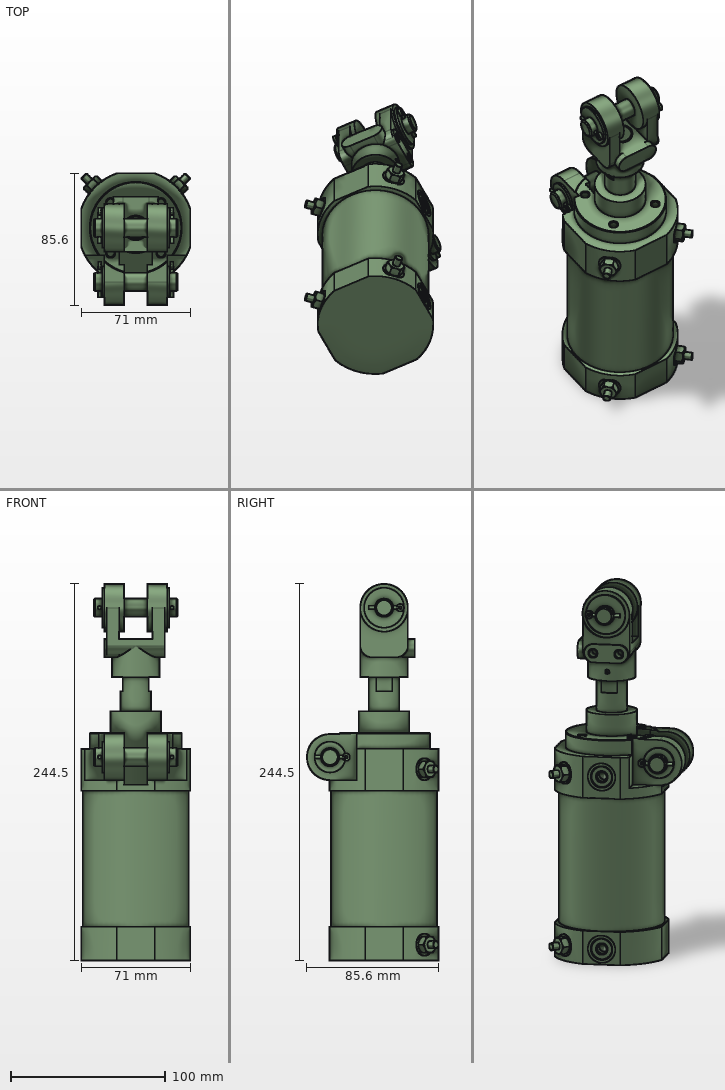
import cadquery as cq
import math

CAP_HEIGHT = 22.0
HEAD_BOTTOM = 110.0
HEAD_TOP = 137.5
COLLAR_TOP = 147.7
NECK_TOP = 161.9
FLATS_TOP = 174.8

TUBE_DIA = 69.0
COVER_DIA = 75.0
COVER_FLATS = 71.0
COLLAR_DIA = 60.0
COLLAR_CHAMFER = 0.5
NECK_DIA = 33.0
ROD_DIA = 20.0
ROD_FLATS = 17.0
SPIGOT_DIA = 16.0
SPIGOT_CHAMFER = 0.7

CHEEK_OUTER = 20.3
CHEEK_INNER = 7.5
WASHER_FACE = 21.8

LUG_DIA = 30.0
LUG_RADIUS = LUG_DIA / 2
LUG_FRONT_Y = -50.1
LUG_Y = LUG_FRONT_Y + LUG_RADIUS
LUG_Z = 132.0
LUG_WASHER_DIA = 20.0
CHEEK_BACK_Y = -17.8
SLOT_FLOOR_Z = 114.0
POCKET_HALF_WIDTH = 10.8
POCKET_FRONT_Y = -24.0
POCKET_BACK_Y = -14.5

FORK_BOTTOM = 183.9
FORK_DIA = 31.0
FORK_RADIUS = FORK_DIA / 2
FORK_TOP = 244.5
FORK_Z = FORK_TOP - FORK_RADIUS
FORK_WASHER_DIA = 26.0
FORK_BORE_DIA = 16.1
FORK_WIDTH = 38.0
FORK_HALF_WIDTH = FORK_WIDTH / 2
LEG_INNER = 10.8
FLOOR_Z = 208.8
PAD_HEIGHT = 12.0
PAD_HOLE_SPACING = 17.0
REAR_PAD_Y = 20.0
BASE_FILLET = 7.5
BASE_BOTTOM = FLOOR_Z - PAD_HEIGHT
PAD_Z = FLOOR_Z - PAD_HEIGHT / 2
SET_HOLE_DIA = 3.0
SET_HOLE_Z = 190.0
SET_HOLE_DEPTH = 5.0

TAP_DIA = 5.0
TAP_MOUTH_DIA = 6.0
TAP_DEPTH = 9.8
COLLAR_TAP_XY = 16.5

REAR_PORT_Z = 10.3
FRONT_PORT_Z = 124.2
PORT_SEAT_DIA = 18.0
PORT_SEAT_DEPTH = 0.2
PORT_MOUTH_DIA = 14.5
PORT_DIA = 13.5
PORT_DEPTH = 0.6
FEED_MOUTH_DIA = 7.8
FEED_DIA = 6.0
DRILL_HALF_ANGLE = 60
FEED_DEPTH = 7.3

NEEDLE_SEAT_DIA = 14.5
NEEDLE_SEAT_R = 36.7
NEEDLE_NUT_R = 42.3
NEEDLE_END_R = 47.7
NEEDLE_NUT_BEVEL = 0.7
NEEDLE_STUD_CHAMFER = 0.2
NEEDLE_NUT_CORNERS = 12.0
NEEDLE_STUD_DIA = 5.0
NEEDLE_ANGLES = (45, 135)

PIN_DIA = 12.0
PIN_HALF_LENGTH = 27.5
PIN_CHAMFER = 1.0
COTTER_X = 23.5
COTTER_DIA = 2.3
COTTER_TAIL = 10.0
COTTER_EYE_CENTRE = 10.5
COTTER_EYE_DIA = 5.0
COTTER_EYE_THICKNESS = 2.0
COTTER_EYE_HOLE = 1.7


def rod_z(dia, z_low, z_high):
    """Upright cylinder on the main axis."""
    return cq.Workplane("XY").workplane(offset=z_low).circle(dia / 2).extrude(z_high - z_low)


def rod_x(dia, x_low, x_high, y, z):
    """Cylinder along X."""
    return cq.Workplane("YZ", origin=(x_low, y, z)).circle(dia / 2).extrude(x_high - x_low)


def block(x_low, x_high, y_low, y_high, z_low, z_high):
    """Box between two opposite corners."""
    size = (x_high - x_low, y_high - y_low, z_high - z_low)
    return cq.Workplane("XY").box(*size, centered=False).translate((x_low, y_low, z_low))


def countersunk_hole(mouth, direction, mouth_dia, dia, depth):
    """Blind hole with a 45 degree mouth, as a tool to cut with."""
    sink = (mouth_dia - dia) / 2
    profile = (
        cq.Workplane("XZ")
        .polyline([(0, 0), (mouth_dia / 2, 0), (dia / 2, sink), (dia / 2, depth), (0, depth)])
        .close()
        .revolve(360, (0, 0, 0), (0, 1, 0))
    )
    plane = cq.Plane(origin=mouth, normal=direction)
    return cq.Workplane(profile.val().moved(plane.location))


def cover(z_low, z_high):
    """Round end cover with a flat on each of its four sides."""
    half = COVER_FLATS / 2
    return rod_z(COVER_DIA, z_low, z_high).intersect(block(-half, half, -half, half, z_low, z_high))


def head():
    """Front cover with its collar and the two cheeks of the lower joint."""
    collar = rod_z(COLLAR_DIA, HEAD_TOP, COLLAR_TOP).faces(">Z").chamfer(COLLAR_CHAMFER)
    body = cover(HEAD_BOTTOM, HEAD_TOP).union(collar)
    lug_bottom = LUG_Z - LUG_RADIUS
    for side in (-1, 1):
        x_near, x_far = sorted((side * CHEEK_OUTER, side * COVER_DIA))
        body = body.cut(block(x_near, x_far, -COVER_DIA, CHEEK_BACK_Y, lug_bottom, NECK_TOP))

    body = body.union(
        block(-CHEEK_OUTER, CHEEK_OUTER, LUG_Y, CHEEK_BACK_Y, lug_bottom, LUG_Z + LUG_RADIUS)
    )
    body = body.union(rod_x(LUG_DIA, -CHEEK_OUTER, CHEEK_OUTER, LUG_Y, LUG_Z))
    body = body.union(rod_x(LUG_WASHER_DIA, -WASHER_FACE, WASHER_FACE, LUG_Y, LUG_Z))

    slot = block(-CHEEK_INNER, CHEEK_INNER, -COVER_DIA, POCKET_BACK_Y, SLOT_FLOOR_Z, NECK_TOP)
    pocket = block(
        -POCKET_HALF_WIDTH, POCKET_HALF_WIDTH, POCKET_FRONT_Y, POCKET_BACK_Y, SLOT_FLOOR_Z, NECK_TOP
    )
    body = body.cut(slot).cut(pocket).union(rod_z(NECK_DIA, HEAD_BOTTOM, NECK_TOP))
    body = body.cut(rod_x(PIN_DIA, -PIN_HALF_LENGTH, PIN_HALF_LENGTH, LUG_Y, LUG_Z))

    for x in (-COLLAR_TAP_XY, COLLAR_TAP_XY):
        for y in (-COLLAR_TAP_XY, COLLAR_TAP_XY):
            body = body.cut(
                countersunk_hole((x, y, COLLAR_TOP), (0, 0, -1), TAP_MOUTH_DIA, TAP_DIA, TAP_DEPTH)
            )
    return body


def piston_rod():
    """Rod with wrench flats and the spigot that enters the fork."""
    half = ROD_FLATS / 2
    spigot = rod_z(SPIGOT_DIA, FORK_BOTTOM, FLOOR_Z).faces(">Z").chamfer(SPIGOT_CHAMFER)
    flats = block(-half, half, -ROD_DIA, ROD_DIA, FLATS_TOP, FORK_BOTTOM)
    return (
        rod_z(ROD_DIA, NECK_TOP, FLATS_TOP)
        .union(rod_z(ROD_DIA, FLATS_TOP, FORK_BOTTOM).intersect(flats))
        .union(spigot)
    )


def air_port(z):
    """Stepped port in the -X flat, as a tool to cut with."""
    face_x = -COVER_FLATS / 2
    seat_x = face_x + PORT_SEAT_DEPTH
    inward = (1, 0, 0)
    seat = rod_x(PORT_SEAT_DIA, face_x, seat_x, 0, z)
    ring = countersunk_hole((seat_x, 0, z), inward, PORT_MOUTH_DIA, PORT_DIA, PORT_DEPTH)
    floor = (seat_x + PORT_DEPTH, 0, z)
    feed = countersunk_hole(floor, inward, FEED_MOUTH_DIA, FEED_DIA, FEED_DEPTH)
    tip_length = FEED_DIA / 2 / math.tan(math.radians(DRILL_HALF_ANGLE))
    tip_base = (seat_x + PORT_DEPTH + FEED_DEPTH, 0, z)
    tip = cq.Workplane(
        cq.Solid.makeCone(FEED_DIA / 2, 0, tip_length, cq.Vector(*tip_base), cq.Vector(*inward))
    )
    return seat.union(ring).union(feed).union(tip)


def add_needle(body, angle, z):
    """Seat, hexagon and stud of a cushion needle, pointing away from the main axis."""
    outward = (math.cos(math.radians(angle)), math.sin(math.radians(angle)), 0)
    plane = cq.Plane(origin=(0, 0, z), xDir=(outward[1], -outward[0], 0), normal=outward)
    nut_height = NEEDLE_NUT_R - NEEDLE_SEAT_R
    seat_plane = cq.Workplane(plane).workplane(offset=NEEDLE_SEAT_R)
    nut_plane = cq.Workplane(plane).workplane(offset=NEEDLE_NUT_R)

    body = body.cut(seat_plane.circle(NEEDLE_SEAT_DIA / 2).extrude(nut_height))
    bevelled = seat_plane.circle(NEEDLE_NUT_CORNERS / 2).extrude(nut_height)
    bevelled = bevelled.faces("%PLANE").chamfer(NEEDLE_NUT_BEVEL)
    nut = seat_plane.polygon(6, NEEDLE_NUT_CORNERS).extrude(nut_height).intersect(bevelled)
    stud = nut_plane.circle(NEEDLE_STUD_DIA / 2).extrude(NEEDLE_END_R - NEEDLE_NUT_R)
    outer_end = cq.DirectionMinMaxSelector(plane.zDir, True)
    return body.union(nut).union(stud.faces(outer_end).chamfer(NEEDLE_STUD_CHAMFER))


def make_cylinder():
    """Rear cap, tube, head and rod with their ports and needles."""
    body = (
        cover(0, CAP_HEIGHT)
        .union(rod_z(TUBE_DIA, CAP_HEIGHT, HEAD_BOTTOM))
        .union(head())
        .union(piston_rod())
    )
    for z in (REAR_PORT_Z, FRONT_PORT_Z):
        body = body.cut(air_port(z))
        for angle in NEEDLE_ANGLES:
            body = add_needle(body, angle, z)
    return body


def pad_outline(plane):
    """Horizontal slot outline, its round ends centred on the pad holes."""
    return plane.slot2D(PAD_HOLE_SPACING + PAD_HEIGHT, PAD_HEIGHT)


def make_fork():
    """U-shaped fork on a round hub."""
    outline = block(
        -FORK_HALF_WIDTH, FORK_HALF_WIDTH, -FORK_RADIUS, FORK_RADIUS, BASE_BOTTOM, FORK_Z
    )
    outline = outline.edges("|X and <Z").fillet(BASE_FILLET)
    outline = outline.union(rod_x(FORK_DIA, -CHEEK_OUTER, CHEEK_OUTER, 0, FORK_Z))
    gap = block(-LEG_INNER, LEG_INNER, -FORK_RADIUS, FORK_RADIUS, FLOOR_Z, FORK_TOP)
    body = outline.cut(gap)

    for side in (-1, 1):
        disc_low, disc_high = sorted((side * CHEEK_INNER, side * CHEEK_OUTER))
        body = body.union(rod_x(FORK_DIA, disc_low, disc_high, 0, FORK_Z))
        washer_low, washer_high = sorted((side * CHEEK_OUTER, side * WASHER_FACE))
        body = body.union(rod_x(FORK_WASHER_DIA, washer_low, washer_high, 0, FORK_Z))

    body = body.union(rod_z(FORK_DIA, FORK_BOTTOM, FLOOR_Z))

    side_pad = pad_outline(cq.Workplane("YZ", origin=(-CHEEK_OUTER, 0, PAD_Z)))
    rear_pad = pad_outline(cq.Workplane("XZ", origin=(0, REAR_PAD_Y, PAD_Z)))
    body = body.union(side_pad.extrude(CHEEK_OUTER - LEG_INNER)).union(rear_pad.extrude(REAR_PAD_Y))

    for y in (-PAD_HOLE_SPACING / 2, PAD_HOLE_SPACING / 2):
        mouth = (-CHEEK_OUTER, y, PAD_Z)
        body = body.cut(countersunk_hole(mouth, (1, 0, 0), TAP_MOUTH_DIA, TAP_DIA, TAP_DEPTH))
    body = body.cut(rod_x(SET_HOLE_DIA, -FORK_RADIUS, SET_HOLE_DEPTH - FORK_RADIUS, 0, SET_HOLE_Z))
    body = body.cut(rod_x(PIN_DIA, -PIN_HALF_LENGTH, PIN_HALF_LENGTH, 0, FORK_Z))
    return body.cut(rod_z(FORK_BORE_DIA, FORK_BOTTOM, FLOOR_Z))


def make_pin(y, z):
    """Joint pin along X with a cross hole near each end."""
    pin = rod_x(PIN_DIA, -PIN_HALF_LENGTH, PIN_HALF_LENGTH, y, z).faces("<X or >X").chamfer(PIN_CHAMFER)
    for x in (-COTTER_X, COTTER_X):
        hole = cq.Workplane("XZ", origin=(x, y + PIN_DIA, z)).circle(COTTER_DIA / 2)
        pin = pin.cut(hole.extrude(2 * PIN_DIA))
    return pin


def make_cotter(x, y, z):
    """Cotter along Y with a ring-shaped eye at its +Y end."""
    eye_y = y + COTTER_EYE_CENTRE
    shank = (
        cq.Workplane("XZ", origin=(x, eye_y, z))
        .circle(COTTER_DIA / 2)
        .extrude(COTTER_EYE_CENTRE + COTTER_TAIL)
    )
    x_low, x_high = x - COTTER_EYE_THICKNESS / 2, x + COTTER_EYE_THICKNESS / 2
    eye = rod_x(COTTER_EYE_DIA, x_low, x_high, eye_y, z)
    return shank.union(eye).cut(rod_x(COTTER_EYE_HOLE, x - COTTER_DIA, x + COTTER_DIA, eye_y, z))


cylinder = make_cylinder()
fork = make_fork()
pins = []
cotters = []
for joint_y, joint_z in ((LUG_Y, LUG_Z), (0, FORK_Z)):
    pins.append(make_pin(joint_y, joint_z))
    for cotter_x in (-COTTER_X, COTTER_X):
        cotters.append(make_cotter(cotter_x, joint_y, joint_z))

result = cq.Compound.makeCompound(
    [cylinder.val(), fork.val(), *[pin.val() for pin in pins], *[cotter.val() for cotter in cotters]]
)